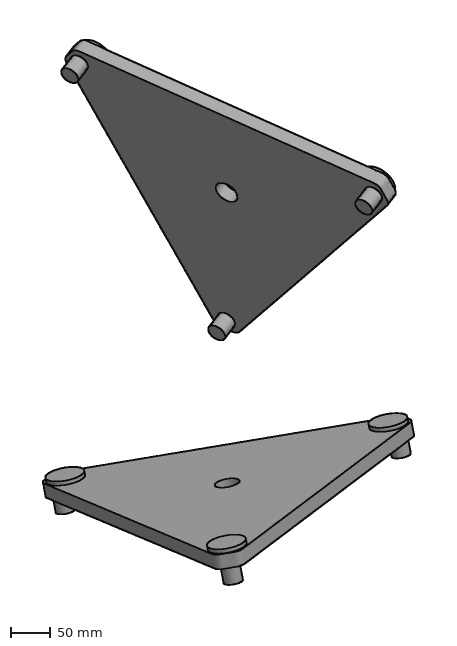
import cadquery as cq
import math

plate_thickness = 20.0
edge_distance = 148.0
cut_distance = 268.5
corner_radius = 12.5
center_hole_diameter = 32.0

pin_diameter = 25.5
pin_length = 25.0
pin_distance = 251.0
pad_diameter = 50.5
pad_thickness = 5.5
pad_distance = 241.5

corner_angles = [30, 150, 270]

cut_half_length = (edge_distance - cut_distance * math.cos(math.radians(60))) / math.sin(math.radians(60))


def polar_point(distance, angle, sideways=0):
    """Point (x, z) at a distance in a direction, then shifted sideways from that direction."""
    direction = math.radians(angle)
    x = distance * math.cos(direction) - sideways * math.sin(direction)
    z = distance * math.sin(direction) + sideways * math.cos(direction)
    return x, z


def cylinder(center, front_y, length, diameter):
    """Cylinder along Y that starts at front_y and runs towards the back."""
    x, z = center
    return cq.Solid.makeCylinder(diameter / 2, length, cq.Vector(x, front_y, z), cq.Vector(0, 1, 0))


def make_plate():
    outline = [
        polar_point(cut_distance, angle, side * cut_half_length)
        for angle in corner_angles
        for side in (-1, 1)
    ]
    blank = cq.Workplane("XZ").polyline(outline).close().extrude(-plate_thickness)
    rounded = blank.edges("|Y").fillet(corner_radius)
    center_hole = cylinder((0, 0), 0, plate_thickness, center_hole_diameter)
    return rounded.cut(cq.Workplane(center_hole)).val()


def make_pin(angle):
    return cylinder(polar_point(pin_distance, angle), -pin_length, pin_length, pin_diameter)


def make_pad(angle):
    return cylinder(polar_point(pad_distance, angle), plate_thickness, pad_thickness, pad_diameter)


plate = make_plate()
pins = [make_pin(angle) for angle in corner_angles]
pads = [make_pad(angle) for angle in corner_angles]

result = cq.Compound.makeCompound([plate, *pins, *pads])